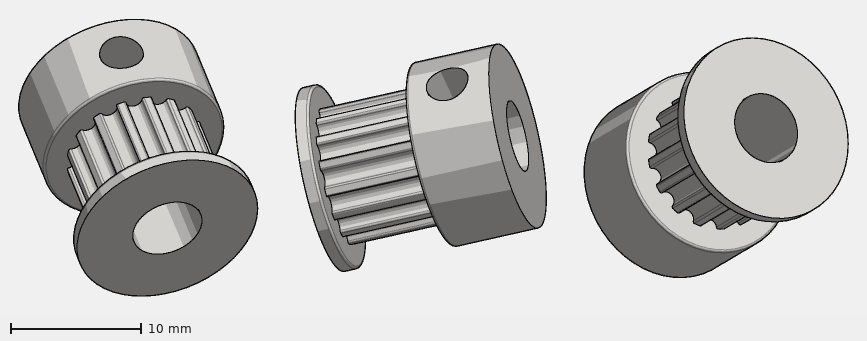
import cadquery as cq
import math

total_length = 15.59
outer_radius = 7.23
hub_length = 6.7
flange_thickness = 1.09
edge_round = 0.19
bore_diameter = 5.53
screw_hole_diameter = 3.35

tooth_count = 16
tip_radius = 5.4
groove_half_width = 0.64
groove_depth = 0.75
lip_radius = 0.15
groove_mouth_half_width = groove_half_width + lip_radius

flange_start = total_length - flange_thickness
teeth_length = flange_start - hub_length
tooth_pitch = 360 / tooth_count


def disc(start, length, radius):
    """Solid cylinder along X."""
    return cq.Workplane("YZ", origin=(start, 0, 0)).circle(radius).extrude(length)


def belt_groove(angle):
    """Cutter for one groove: round bottom and rounded lips at the tooth tips."""
    mouth_height = math.sqrt(tip_radius**2 - groove_mouth_half_width**2)
    lip_height = mouth_height - lip_radius
    bottom_height = tip_radius - groove_depth
    clear_height = tip_radius + lip_radius
    lip_offset = lip_radius * math.sqrt(0.5)
    lip_mid_half_width = groove_mouth_half_width - lip_offset
    lip_mid_height = lip_height + lip_offset
    return (
        cq.Workplane("YZ", origin=(hub_length, 0, 0))
        .moveTo(-groove_mouth_half_width, clear_height)
        .lineTo(-groove_mouth_half_width, mouth_height)
        .threePointArc((-lip_mid_half_width, lip_mid_height), (-groove_half_width, lip_height))
        .threePointArc((0, bottom_height), (groove_half_width, lip_height))
        .threePointArc((lip_mid_half_width, lip_mid_height), (groove_mouth_half_width, mouth_height))
        .lineTo(groove_mouth_half_width, clear_height)
        .close()
        .extrude(teeth_length)
        .rotate((0, 0, 0), (1, 0, 0), angle)
    )


hub = disc(0, hub_length, outer_radius).faces(">X").edges().fillet(edge_round)
flange = disc(flange_start, flange_thickness, outer_radius).faces("<X").edges().fillet(edge_round)

teeth = disc(hub_length, teeth_length, tip_radius)
for index in range(tooth_count):
    teeth = teeth.cut(belt_groove(index * tooth_pitch))

result = hub.union(teeth).union(flange).cut(disc(0, total_length, bore_diameter / 2))

screw_hole = (
    cq.Workplane("XY", origin=(hub_length / 2, 0, 0))
    .circle(screw_hole_diameter / 2)
    .extrude(outer_radius)
)
result = result.cut(screw_hole)
result = result.cut(screw_hole.rotate((0, 0, 0), (1, 0, 0), -90))